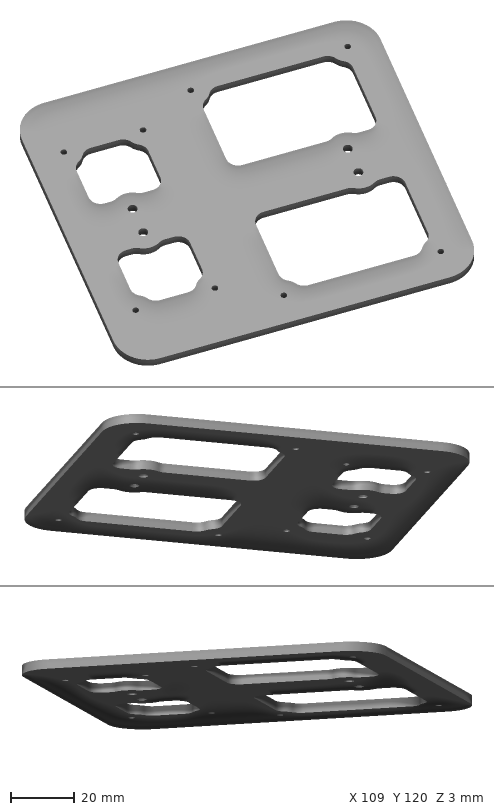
import cadquery as cq

plate_width = 109.0
plate_length = 120.0
plate_thickness = 3.0
plate_corner_radius = 11.5

small_hole_diameter = 2.1
large_hole_diameter = 3.1
large_hole_spacing = 10.0
small_hole_outset = 1.25

border = 12.0
web_width = 20.0
window_fillet = 4.0
hole_wall = 5.0

upper_width = plate_width - 2 * border
upper_height = 50.0
upper_center_y = plate_length / 2 - border - upper_height / 2
upper_pair_y = 35.5
lower_width = 65.0
lower_height = 24.0
lower_center_y = -plate_length / 2 + border + lower_height / 2
lower_pair_y = -36.5


def make_plate():
    """Rectangular plate with rounded corners."""
    plate = cq.Workplane("XY").rect(plate_width, plate_length).extrude(plate_thickness)
    return plate.edges("|Z").fillet(plate_corner_radius)


def cylinders(points, diameter):
    """Through cylinders at the given points."""
    return cq.Workplane("XY").pushPoints(points).circle(diameter / 2).extrude(plate_thickness)


def small_hole_points(width, height, center_y):
    """Points just outside the four outer corners of a window pair."""
    x = width / 2 + small_hole_outset
    dy = height / 2 + small_hole_outset
    return [(side_x * x, center_y + side_y * dy) for side_x in (-1, 1) for side_y in (-1, 1)]


def large_hole_points(pair_y):
    """The two hole centres on the web."""
    return [(side * large_hole_spacing / 2, pair_y) for side in (-1, 1)]


def windows(width, height, center_y, small_points, large_points):
    """Mirrored pair of windows, with a round land left about each hole and every corner blended."""
    window_width = (width - web_width) / 2
    left_center_x = -(width + web_width) / 4
    left = (
        cq.Workplane("XY")
        .center(left_center_x, center_y)
        .rect(window_width, height)
        .extrude(plate_thickness)
        .cut(cylinders(small_points, small_hole_diameter + 2 * hole_wall))
        .cut(cylinders(large_points, large_hole_diameter + 2 * hole_wall))
        .edges("|Z")
        .fillet(window_fillet)
    )
    return left.union(left.mirror("YZ"))


def cut_station(plate, width, height, center_y, pair_y):
    """Cut one window pair with its small and large holes."""
    small_points = small_hole_points(width, height, center_y)
    large_points = large_hole_points(pair_y)
    plate = plate.cut(windows(width, height, center_y, small_points, large_points))
    plate = plate.cut(cylinders(small_points, small_hole_diameter))
    return plate.cut(cylinders(large_points, large_hole_diameter))


result = make_plate()
result = cut_station(result, upper_width, upper_height, upper_center_y, upper_pair_y)
result = cut_station(result, lower_width, lower_height, lower_center_y, lower_pair_y)